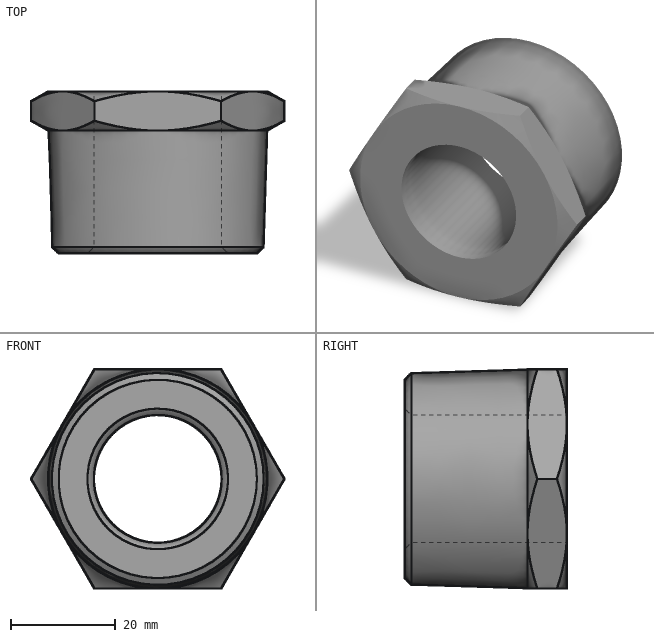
import cadquery as cq
import math

across_flats = 42.0
across_corners = across_flats / math.cos(math.radians(30))
head_thickness = 7.5
head_chamfer_angle = 30.0

total_length = 31.0
body_length = total_length - head_thickness
body_diameter_at_head = 41.91
taper_ratio = 1 / 16
body_diameter_at_end = body_diameter_at_head - taper_ratio * body_length
end_chamfer = 1.25

bore_diameter = 24.4
bore_chamfer = 1.25


def revolve_about_y(points):
    """Turn a closed (radius, y) outline about the Y axis."""
    return cq.Workplane("XY").polyline(points).close().revolve(360, (0, 0, 0), (0, 1, 0))


def make_head():
    """Hexagon with corners on +X and -X, both faces chamfered by cones touching the flats."""
    hexagon = (
        cq.Workplane("XZ", origin=(0, total_length, 0))
        .polygon(6, across_corners)
        .extrude(head_thickness)
    )
    flat_radius = across_flats / 2
    corner_radius = across_corners / 2
    chamfer_drop = (corner_radius - flat_radius) * math.tan(math.radians(head_chamfer_angle))
    envelope = revolve_about_y([
        (0, body_length),
        (flat_radius, body_length),
        (corner_radius, body_length + chamfer_drop),
        (corner_radius, total_length - chamfer_drop),
        (flat_radius, total_length),
        (0, total_length),
    ])
    return hexagon.intersect(envelope)


def make_body():
    """Cone frustum widening towards the head, with a chamfered free end."""
    end_radius = body_diameter_at_end / 2
    radius_at_chamfer = end_radius + taper_ratio / 2 * end_chamfer
    return revolve_about_y([
        (0, 0),
        (end_radius - end_chamfer, 0),
        (radius_at_chamfer, end_chamfer),
        (body_diameter_at_head / 2, body_length),
        (0, body_length),
    ])


def make_bore():
    """Through bore with a chamfered mouth at the free end."""
    bore_radius = bore_diameter / 2
    return revolve_about_y([
        (0, 0),
        (bore_radius + bore_chamfer, 0),
        (bore_radius, bore_chamfer),
        (bore_radius, total_length),
        (0, total_length),
    ])


result = make_head().union(make_body()).cut(make_bore())